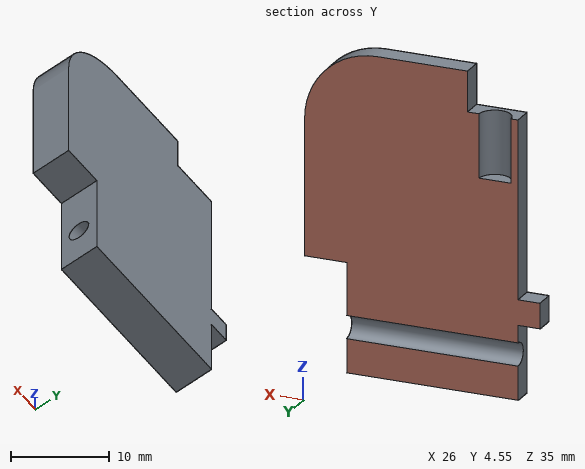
import cadquery as cq

width = 26.0
thickness = 4.55
height = 35

tab_length = 2.4
tab_bottom = 8.15
tab_top = 11.0
shoulder_x = 7.98
shoulder_z = 30.55
foot_right = 21.35
foot_height = 12.0
corner_radius = 8.0

socket_diameter = 3.5
socket_x = 4.97
socket_y = 2.38
socket_depth = 7

cross_diameter = 2.5
cross_y = 2.25
cross_z = 5.0


def plate():
    outline = (
        cq.Workplane("XZ")
        .moveTo(tab_length, 0)
        .lineTo(foot_right, 0)
        .lineTo(foot_right, foot_height)
        .lineTo(width, foot_height)
        .lineTo(width, height - corner_radius)
        .radiusArc((width - corner_radius, height), -corner_radius)
        .lineTo(shoulder_x, height)
        .lineTo(shoulder_x, shoulder_z)
        .lineTo(tab_length, shoulder_z)
        .lineTo(tab_length, tab_top)
        .lineTo(0, tab_top)
        .lineTo(0, tab_bottom)
        .lineTo(tab_length, tab_bottom)
        .close()
    )
    return outline.extrude(-thickness)


def socket():
    mouth = cq.Workplane("XY", origin=(socket_x, socket_y, shoulder_z))
    return mouth.circle(socket_diameter / 2).extrude(-socket_depth)


def cross_hole():
    mouth = cq.Workplane("YZ", origin=(0, cross_y, cross_z))
    return mouth.circle(cross_diameter / 2).extrude(width)


result = plate().cut(socket()).cut(cross_hole())